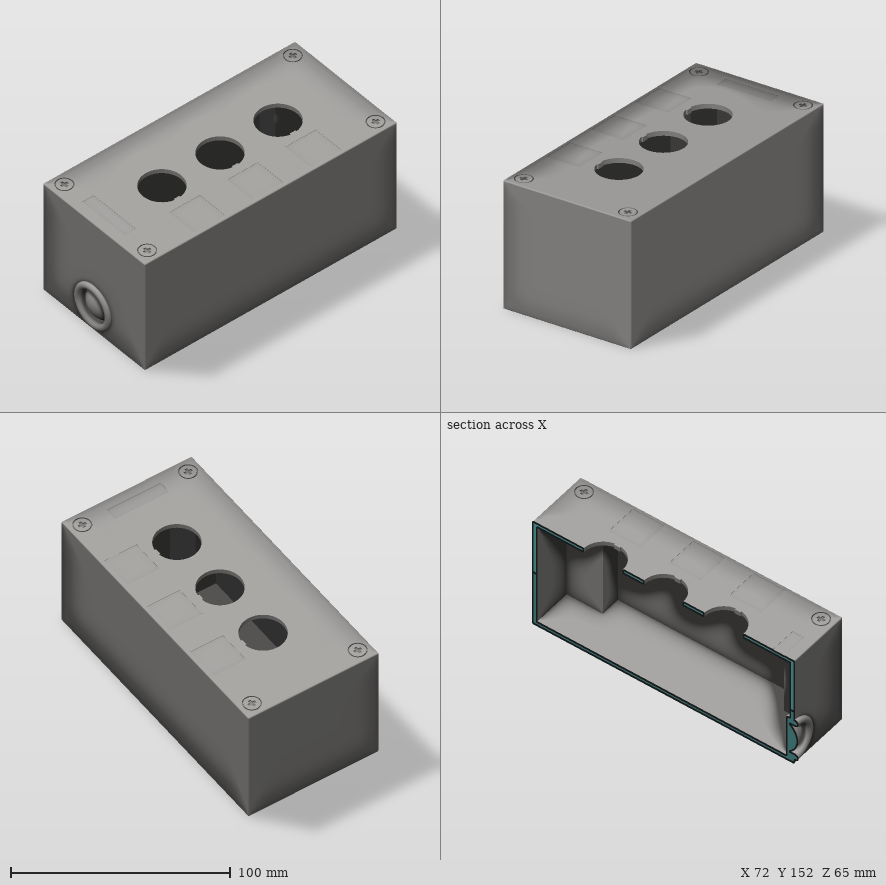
import cadquery as cq
import math

WIDTH = 72.0
TOTAL_LENGTH = 152.0
HEIGHT = 65.0
GLAND_PROJECTION = 2.1
LENGTH = TOTAL_LENGTH - GLAND_PROJECTION
PARTING_Z = HEIGHT / 2
WALL = 2.5
EDGE_ROUND = 0.6

POST_WIDTH = 13.7
POST_LENGTH = 23.1

HOLE_COUNT = 3
HOLE_PITCH = 34.5
HOLE_RADIUS = 11.2
KEY_HEIGHT = 0.9
KEY_WIDTH = 3.3

LABEL_DEPTH = 0.2
LABEL_SIZE = 18.2
LABEL_X = 25.1
NAMEPLATE_WIDTH = 30.0
NAMEPLATE_HEIGHT = 6.7
NAMEPLATE_Y = -65.8

SCREW_SPACING_X = 58.5
SCREW_SPACING_Y = 135.7
SCREW_RADIUS = 4.0
SCREW_GAP = 0.6
SCREW_GAP_DEPTH = 0.8
CROSS_SPAN = 4.1
CROSS_SLOT = 1.5
CROSS_DEPTH = 0.8

GLAND_Z = 14.9
RING_RADIUS = 10.8
RING_HALF_WIDTH = 1.8
RING_INNER_RADIUS = RING_RADIUS - RING_HALF_WIDTH
RING_OUTER_RADIUS = RING_RADIUS + RING_HALF_WIDTH
DOME_PROJECTION = 1.8
DOME_RIM_DEPTH = 2.9
DOME_RISE = DOME_PROJECTION + DOME_RIM_DEPTH
PLUG_DEPTH = 4.5

HOLE_CENTRES = [(0, (i - (HOLE_COUNT - 1) / 2) * HOLE_PITCH) for i in range(HOLE_COUNT)]


def outer_block(bottom, top):
    """Full-size block between two heights with rounded vertical edges."""
    block = cq.Workplane("XY", origin=(0, 0, bottom)).rect(WIDTH, LENGTH).extrude(top - bottom)
    return block.edges("|Z").fillet(EDGE_ROUND)


def cavity(bottom, top):
    """Interior space between two heights, leaving the walls and corner posts."""
    room = cq.Workplane("XY", origin=(0, 0, bottom)).rect(WIDTH - 2 * WALL, LENGTH - 2 * WALL)
    posts = (
        cq.Workplane("XY", origin=(0, 0, bottom))
        .rect(WIDTH - POST_WIDTH, LENGTH - POST_LENGTH, forConstruction=True)
        .vertices()
        .rect(POST_WIDTH, POST_LENGTH)
    )
    return room.extrude(top - bottom).cut(posts.extrude(top - bottom))


def control_holes():
    """Keyed round cutters that pass through the lid's top wall."""
    base_plane = cq.Workplane("XY", origin=(0, 0, HEIGHT - WALL))
    holes = base_plane.pushPoints(HOLE_CENTRES).circle(HOLE_RADIUS).extrude(WALL)
    key_centres = [(x + HOLE_RADIUS, y) for x, y in HOLE_CENTRES]
    keys = base_plane.pushPoints(key_centres).rect(2 * KEY_HEIGHT, KEY_WIDTH).extrude(WALL)
    return holes.cut(keys)


def label_recesses():
    """A square recess beside each hole and one nameplate recess near the -Y end."""
    top_plane = cq.Workplane("XY", origin=(0, 0, HEIGHT))
    label_centres = [(LABEL_X, y) for _, y in HOLE_CENTRES]
    labels = top_plane.pushPoints(label_centres).rect(LABEL_SIZE, LABEL_SIZE).extrude(-LABEL_DEPTH)
    nameplate = top_plane.center(0, NAMEPLATE_Y).rect(NAMEPLATE_WIDTH, NAMEPLATE_HEIGHT)
    return labels.union(nameplate.extrude(-LABEL_DEPTH))


def screw_recesses():
    """Annular gap and cross slot that mark each screw head in the lid."""
    centres = (
        cq.Workplane("XY", origin=(0, 0, HEIGHT))
        .rect(SCREW_SPACING_X, SCREW_SPACING_Y, forConstruction=True)
        .vertices()
    )
    gaps = centres.circle(SCREW_RADIUS + SCREW_GAP).circle(SCREW_RADIUS).extrude(-SCREW_GAP_DEPTH)
    slots_x = centres.rect(CROSS_SPAN, CROSS_SLOT).extrude(-CROSS_DEPTH)
    slots_y = centres.rect(CROSS_SLOT, CROSS_SPAN).extrude(-CROSS_DEPTH)
    return gaps.union(slots_x).union(slots_y)


def dome_point(radius):
    """Profile point on the spherical dome at a given distance from the gland axis."""
    sphere_radius = (RING_INNER_RADIUS**2 + DOME_RISE**2) / (2 * DOME_RISE)
    drop = sphere_radius - math.sqrt(sphere_radius**2 - radius**2)
    return (radius, DOME_PROJECTION - drop)


def gland():
    """Plug with ring and dome, revolved about the gland axis."""
    ring_shoulder = GLAND_PROJECTION - RING_HALF_WIDTH
    profile_plane = cq.Plane(origin=(0, -LENGTH / 2, GLAND_Z), xDir=(0, 0, 1), normal=(1, 0, 0))
    half_profile = (
        cq.Workplane(profile_plane)
        .moveTo(0, -PLUG_DEPTH)
        .lineTo(*dome_point(0))
        .threePointArc(dome_point(RING_INNER_RADIUS / 2), dome_point(RING_INNER_RADIUS))
        .lineTo(RING_INNER_RADIUS, ring_shoulder)
        .threePointArc((RING_RADIUS, GLAND_PROJECTION), (RING_OUTER_RADIUS, ring_shoulder))
        .lineTo(RING_OUTER_RADIUS, -PLUG_DEPTH)
        .close()
    )
    return half_profile.revolve(360, (0, 0, 0), (0, 1, 0))


def gland_hole():
    """Round opening through the -Y wall that the gland fills."""
    wall_plane = cq.Workplane("XZ", origin=(0, -LENGTH / 2, GLAND_Z))
    return wall_plane.circle(RING_OUTER_RADIUS).extrude(-WALL)


def make_lid():
    lid = outer_block(PARTING_Z, HEIGHT).faces(">Z").edges().fillet(EDGE_ROUND)
    lid = lid.cut(cavity(PARTING_Z, HEIGHT - WALL))
    return lid.cut(control_holes()).cut(label_recesses()).cut(screw_recesses())


def make_base():
    base = outer_block(0, PARTING_Z).faces("<Z").edges().fillet(EDGE_ROUND)
    base = base.cut(cavity(WALL, PARTING_Z))
    return base.cut(gland_hole()).union(gland())


lid = make_lid()
base = make_base()

result = cq.Compound.makeCompound([lid.val(), base.val()])